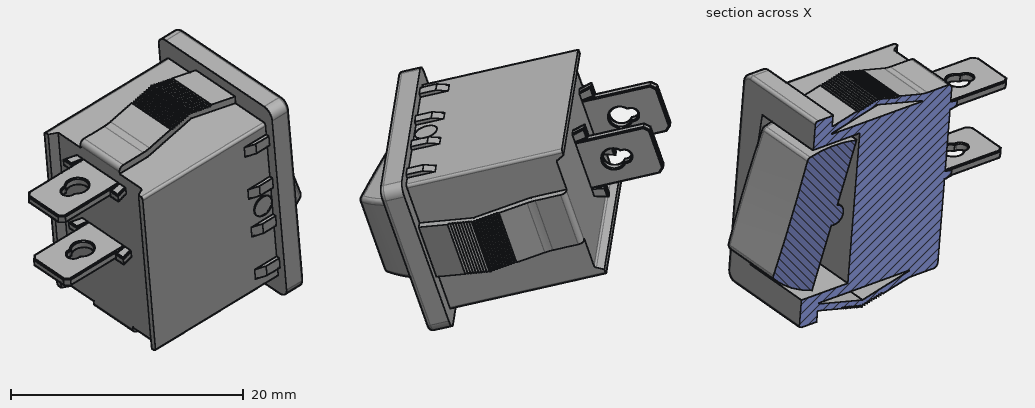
import cadquery as cq
import math

LEAN = 5.0

BEZEL_WIDTH = 14.8
BEZEL_HEIGHT = 20.8
FACE_Y = 3.05
BEZEL_BACK_Y = 1.05
BEZEL_CORNER_RADIUS = 1.0
BEZEL_FACE_RADIUS = 0.31

BODY_WIDTH = 12.85
BODY_HEIGHT = 17.05
BODY_BACK_Y = -13.0
BODY_EDGE_RADIUS = 0.25
LIP_HEIGHT = 0.75
FLOOR_Y = BODY_BACK_Y + LIP_HEIGHT
CHANNEL_MOUTH_WIDTH = 11.8
CHANNEL_FLOOR_WIDTH = 10.93
CHANNEL_CORNER_RADIUS = 0.25

WELL_HEIGHT = 15.05
WELL_END_WIDTH = 8.96
WELL_MIDDLE_WIDTH = 9.85
WELL_BOTTOM_Y = -2.1

NUB_HEIGHT = 1.05
NUB_PROJECTION = 0.35
NUB_FLAT_END_Y = -0.45
NUB_TIP_Y = -1.47
NUB_CENTRES_Z = (6.8, 2.1, -2.1, -6.8)

CLIP_WIDTH = 5.1
CLIP_APEX_Y = -3.93
CLIP_APEX_Z = 10.54
CLIP_SLOPE = 14.0
CLIP_THICKNESS = 0.73
CLIP_FOOT_Z = 9.25
CLIP_END_RADIUS = 0.5
CLIP_BEND_RADIUS = 3.0
TOOTH_COUNT = 9
TOOTH_PITCH = 0.25
TOOTH_DEPTH = 0.18
TOOTH_STEEP_RUN = 0.05
FIRST_TOOTH_ROOT = 0.13

TERMINAL_CENTRES_Z = (7.0, 0.0)
TERMINAL_WIDTH = 4.75
TERMINAL_THICKNESS = 0.79
TERMINAL_TIP_Y = -18.85
TERMINAL_ROOT_DEPTH = 0.52
TERMINAL_CORNER_CUT = 0.45
TERMINAL_CHAMFER = 0.1
EAR_END_Y = -13.42
EAR_END_OUTER_X = 3.56
EAR_END_INNER_X = 2.55
EAR_ROOT_OUTER_X = 3.1
EAR_ROOT_INNER_X = 2.23
KEYHOLE_DIAMETER = 1.97
KEYHOLE_Y = -14.97
KEYHOLE_SLOT_WIDTH = 1.18
KEYHOLE_SLOT_Y = -15.95

ROCKER_TILT = 15.0
ROCKER_FACE_HEIGHT = 5.22
ROCKER_FACE_HALF_LENGTH = 5.71
ROCKER_BULGE_HEIGHT = 3.01
ROCKER_BULGE_HALF_LENGTH = 6.7
ROCKER_BASE_HALF_LENGTH = 7.2
ROCKER_FACE_DIP = 0.1
ROCKER_FACE_END_WIDTH = 7.47
ROCKER_FACE_MIDDLE_WIDTH = 8.18
ROCKER_BASE_WIDTH = 9.44
ROCKER_DRAFT = 4.5
ROCKER_EDGE_RADIUS = 0.42
AXLE_DIAMETER = 2.0
AXLE_PROJECTION = 0.1
AXLE_LEFT_X = -BODY_WIDTH / 2
AXLE_RIGHT_X = BODY_WIDTH / 2 + AXLE_PROJECTION


def block(width, back_y, front_y, height):
    """Box centred in X and Z between two Y positions."""
    return cq.Workplane("XY").box(width, front_y - back_y, height).translate((0, (back_y + front_y) / 2, 0))


def bowed_block(end_width, middle_width, height, back_y, front_y, draft=0):
    """Block with flat ends in Z and sides bowed out to the middle width; draft widens it toward the back."""
    half_end = end_width / 2
    half_middle = middle_width / 2
    half_height = height / 2
    return (
        cq.Workplane("XZ", origin=(0, front_y, 0))
        .moveTo(-half_end, -half_height)
        .lineTo(half_end, -half_height)
        .threePointArc((half_middle, 0), (half_end, half_height))
        .lineTo(-half_end, half_height)
        .threePointArc((-half_middle, 0), (-half_end, -half_height))
        .close()
        .extrude(front_y - back_y, taper=-draft)
    )


def axle():
    length = AXLE_RIGHT_X - AXLE_LEFT_X
    return cq.Workplane("YZ", origin=(AXLE_LEFT_X, 0, 0)).circle(AXLE_DIAMETER / 2).extrude(length)


def bezel():
    plate = block(BEZEL_WIDTH, BEZEL_BACK_Y, FACE_Y, BEZEL_HEIGHT)
    return plate.edges("|Y").fillet(BEZEL_CORNER_RADIUS).faces(">Y").edges().fillet(BEZEL_FACE_RADIUS)


def back_channel():
    half_mouth = CHANNEL_MOUTH_WIDTH / 2
    half_floor = CHANNEL_FLOOR_WIDTH / 2
    channel = (
        cq.Workplane("XY", origin=(0, 0, -BODY_HEIGHT / 2))
        .polyline([
            (-half_mouth, BODY_BACK_Y),
            (half_mouth, BODY_BACK_Y),
            (half_floor, FLOOR_Y),
            (-half_floor, FLOOR_Y),
        ])
        .close()
        .extrude(BODY_HEIGHT)
    )
    return channel.faces(">Y").edges(">X").fillet(CHANNEL_CORNER_RADIUS)


def body():
    shell = block(BODY_WIDTH, BODY_BACK_Y, BEZEL_BACK_Y, BODY_HEIGHT)
    return shell.edges("|Y").fillet(BODY_EDGE_RADIUS).cut(back_channel())


def nub(centre_z):
    """Pair of nubs, one on each side of the body, made as one wedge-ended bar."""
    half_body = BODY_WIDTH / 2
    half_nub = half_body + NUB_PROJECTION
    return (
        cq.Workplane("XY", origin=(0, 0, centre_z - NUB_HEIGHT / 2))
        .polyline([
            (-half_nub, BEZEL_BACK_Y),
            (-half_nub, NUB_FLAT_END_Y),
            (-half_body, NUB_TIP_Y),
            (half_body, NUB_TIP_Y),
            (half_nub, NUB_FLAT_END_Y),
            (half_nub, BEZEL_BACK_Y),
        ])
        .close()
        .extrude(NUB_HEIGHT)
    )


def clip_surface_z(offset):
    """Height of the clip's outer surface at a distance along Y from its apex."""
    return CLIP_APEX_Z - offset * math.tan(math.radians(CLIP_SLOPE))


def tooth_points(direction):
    """Sawtooth points on one flank, listed from the apex outward; steep faces look away from the apex."""
    points = []
    for index in range(TOOTH_COUNT):
        root = FIRST_TOOTH_ROOT + index * TOOTH_PITCH
        crest = root - TOOTH_STEEP_RUN
        points.append((CLIP_APEX_Y + direction * crest, clip_surface_z(crest)))
        points.append((CLIP_APEX_Y + direction * root, clip_surface_z(root) - TOOTH_DEPTH))
    plain_start = FIRST_TOOTH_ROOT + TOOTH_COUNT * TOOTH_PITCH - TOOTH_STEEP_RUN
    points.append((CLIP_APEX_Y + direction * plain_start, clip_surface_z(plain_start)))
    return points


def clip():
    """Upper clip: a bent strip from the bezel over a toothed apex to a foot on the body."""
    slope = math.tan(math.radians(CLIP_SLOPE))
    body_top = BODY_HEIGHT / 2
    bezel_offset = BEZEL_BACK_Y - CLIP_APEX_Y
    bend_y = CLIP_APEX_Y - (CLIP_APEX_Z - CLIP_FOOT_Z) / slope
    inner_apex_z = CLIP_APEX_Z - CLIP_THICKNESS
    inner_foot_y = CLIP_APEX_Y - (inner_apex_z - body_top) / slope
    root_z = body_top - BODY_EDGE_RADIUS
    outline = [
        (BEZEL_BACK_Y, clip_surface_z(bezel_offset) - CLIP_THICKNESS),
        (BEZEL_BACK_Y, clip_surface_z(bezel_offset)),
        *reversed(tooth_points(1)),
        (CLIP_APEX_Y, CLIP_APEX_Z),
        *tooth_points(-1),
        (bend_y, CLIP_FOOT_Z),
        (FLOOR_Y, CLIP_FOOT_Z),
        (FLOOR_Y, root_z),
        (inner_foot_y, root_z),
        (inner_foot_y, body_top),
        (CLIP_APEX_Y, inner_apex_z),
    ]
    strip = cq.Workplane("YZ").polyline(outline).close().extrude(CLIP_WIDTH / 2, both=True)
    bend = cq.selectors.NearestToPointSelector((0, bend_y, CLIP_FOOT_Z))
    foot_end = cq.selectors.NearestToPointSelector((0, FLOOR_Y, CLIP_FOOT_Z))
    return strip.edges("|X").edges(bend).fillet(CLIP_BEND_RADIUS).edges("|X").edges(foot_end).fillet(CLIP_END_RADIUS)


def keyhole_outlines(bottom_z, growth):
    """Round and slotted outlines of the keyhole, widened all round by the growth."""
    round_outline = cq.Workplane("XY", origin=(0, KEYHOLE_Y, bottom_z)).circle(KEYHOLE_DIAMETER / 2 + growth)
    slot_width = KEYHOLE_SLOT_WIDTH + 2 * growth
    slot_length = KEYHOLE_Y - KEYHOLE_SLOT_Y + slot_width
    slot_middle_y = (KEYHOLE_Y + KEYHOLE_SLOT_Y) / 2
    slot_centre = (0, slot_middle_y, bottom_z)
    slot_outline = cq.Workplane("XY", origin=slot_centre).slot2D(slot_length, slot_width, 90)
    return round_outline, slot_outline


def cut_keyhole(blade, centre_z):
    """Cut a keyhole through the blade and chamfer its rim on both faces."""
    bottom_z = centre_z - TERMINAL_THICKNESS / 2
    for outline in keyhole_outlines(bottom_z, 0):
        blade = blade.cut(outline.extrude(TERMINAL_THICKNESS))
    for outline in keyhole_outlines(bottom_z, TERMINAL_CHAMFER):
        flare = outline.extrude(TERMINAL_CHAMFER, taper=45)
        blade = blade.cut(flare).cut(flare.mirror("XY", (0, 0, centre_z)))
    return blade


def chamfered_plate(points, centre_z):
    """Plate of terminal thickness with both rims chamfered."""
    plate = (
        cq.Workplane("XY", origin=(0, 0, centre_z - TERMINAL_THICKNESS / 2))
        .polyline(points)
        .close()
        .extrude(TERMINAL_THICKNESS)
    )
    return plate.faces("|Z").edges().chamfer(TERMINAL_CHAMFER)


def terminal(centre_z):
    half_width = TERMINAL_WIDTH / 2
    half_tip = half_width - TERMINAL_CORNER_CUT
    corner_y = TERMINAL_TIP_Y + TERMINAL_CORNER_CUT
    root_y = FLOOR_Y + TERMINAL_ROOT_DEPTH
    blade = chamfered_plate([
        (-half_width, root_y),
        (-half_width, corner_y),
        (-half_tip, TERMINAL_TIP_Y),
        (half_tip, TERMINAL_TIP_Y),
        (half_width, corner_y),
        (half_width, root_y),
    ], centre_z)
    ear = chamfered_plate([
        (EAR_ROOT_INNER_X, root_y),
        (EAR_END_INNER_X, EAR_END_Y),
        (EAR_END_OUTER_X, EAR_END_Y),
        (EAR_ROOT_OUTER_X, root_y),
    ], centre_z)
    blade = blade.union(ear).union(ear.mirror("YZ"))
    return cut_keyhole(blade, centre_z)


def make_housing():
    housing = bezel().union(body())
    for centre_z in NUB_CENTRES_Z:
        housing = housing.union(nub(centre_z))
    upper_clip = clip()
    housing = housing.union(upper_clip).union(upper_clip.mirror("XY"))
    for centre_z in TERMINAL_CENTRES_Z:
        housing = housing.union(terminal(centre_z))
    well = bowed_block(WELL_END_WIDTH, WELL_MIDDLE_WIDTH, WELL_HEIGHT, WELL_BOTTOM_Y, FACE_Y)
    return housing.cut(well).cut(axle())


def make_rocker():
    """Rocker with bulging ends and bowed sides, tilted about the axle that carries it."""
    side_profile = (
        cq.Workplane("YZ")
        .moveTo(0, -ROCKER_BASE_HALF_LENGTH)
        .threePointArc(
            (ROCKER_BULGE_HEIGHT, -ROCKER_BULGE_HALF_LENGTH),
            (ROCKER_FACE_HEIGHT, -ROCKER_FACE_HALF_LENGTH),
        )
        .threePointArc(
            (ROCKER_FACE_HEIGHT - ROCKER_FACE_DIP, 0),
            (ROCKER_FACE_HEIGHT, ROCKER_FACE_HALF_LENGTH),
        )
        .threePointArc(
            (ROCKER_BULGE_HEIGHT, ROCKER_BULGE_HALF_LENGTH),
            (0, ROCKER_BASE_HALF_LENGTH),
        )
        .close()
        .extrude(ROCKER_BASE_WIDTH / 2, both=True)
    )
    plan = bowed_block(
        ROCKER_FACE_END_WIDTH,
        ROCKER_FACE_MIDDLE_WIDTH,
        2 * ROCKER_BASE_HALF_LENGTH,
        0,
        ROCKER_FACE_HEIGHT,
        ROCKER_DRAFT,
    )
    button = side_profile.intersect(plan).edges("not(<Y)").fillet(ROCKER_EDGE_RADIUS)
    return button.rotate((0, 0, 0), (1, 0, 0), ROCKER_TILT).union(axle())


def lean_back(solid):
    return solid.rotate((0, 0, 0), (1, 0, 0), LEAN)


housing = lean_back(make_housing())
rocker = lean_back(make_rocker())

result = cq.Compound.makeCompound([housing.solids().val(), rocker.solids().val()])